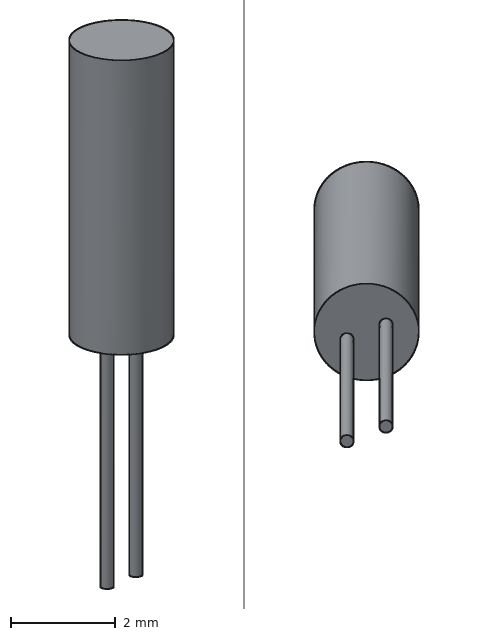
import cadquery as cq

total_height = 11.2
can_diameter = 2.0
can_height = 6.1
lead_diameter = 0.26
lead_spacing = 0.81

lead_length = total_height - can_height


def make_can():
    """Plain cylindrical can standing on the plane Z = 0."""
    return cq.Workplane("XY").circle(can_diameter / 2).extrude(can_height)


def make_lead(y):
    """Straight round lead hanging from the can's bottom face."""
    return cq.Workplane("XY").center(0, y).circle(lead_diameter / 2).extrude(-lead_length)


can = make_can()

leads = []
for side in (-1, 1):
    leads.append(make_lead(side * lead_spacing / 2))

result = cq.Compound.makeCompound([can.val(), *[lead.val() for lead in leads]])